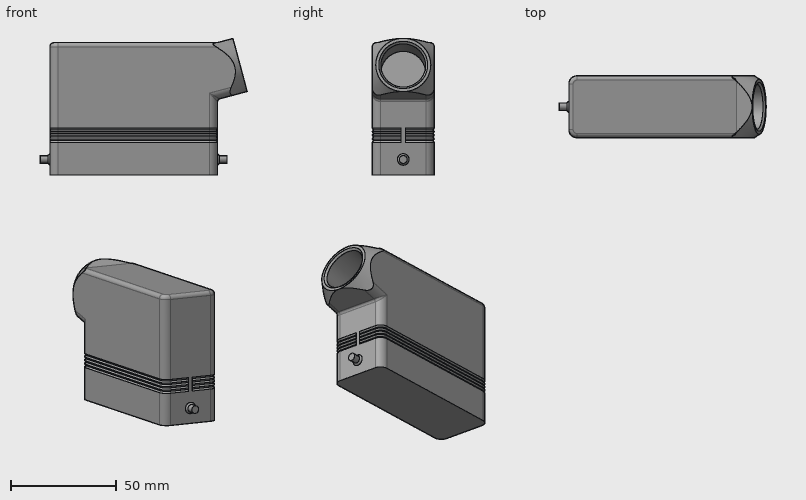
import cadquery as cq
import math

body_length = 79.5
body_width = 29.4
body_height = 62.8
corner_radius = 3.9
top_radius = 2.1

pin_length = 4.5
pin_diameter = 3.7
pin_height = 7.4
collar_flare = 0.9

outlet_tilt = 15.0
mouth_diameter = 26.1
outlet_top = 64.8
outlet_end = 98.0
cone_half_angle = 32.0
cone_length = 13.7
elbow_radius = 1.3
bore_diameter = 21.2
bore_chamfer = 1.0
bore_depth = 14.7

groove_count = 4
groove_pitch = 1.7
groove_depth = 0.6
groove_base = 15.6
groove_gap = 2.0

clearance = 0.1

body_left = pin_length
body_right = body_left + body_length
body_center = (body_left + body_right) / 2
tilt = math.radians(outlet_tilt)
mouth_radius = mouth_diameter / 2
bore_radius = bore_diameter / 2
pin_radius = pin_diameter / 2

mouth_top_x = outlet_end - mouth_diameter * math.sin(tilt)
mouth_top = (mouth_top_x, outlet_top)
mouth_bottom_z = outlet_top - mouth_diameter * math.cos(tilt)
mouth_bottom = (outlet_end, mouth_bottom_z)

elbow_z = mouth_bottom_z - (outlet_end - body_right) * math.tan(tilt)
slope_start_x = mouth_top_x - (outlet_top - body_height) / math.tan(tilt)
mouth_cut_x = mouth_top_x + (outlet_top - body_height) * math.tan(tilt)

mouth_plane = cq.Plane(
    origin=((mouth_top_x + outlet_end) / 2, 0, (outlet_top + mouth_bottom_z) / 2),
    xDir=(0, 1, 0),
    normal=(math.cos(tilt), 0, math.sin(tilt)),
)


def side_extrusion(points, width):
    """Solid with an X-Z outline, centered on y = 0."""
    return cq.Workplane("XZ").polyline(points).close().extrude(width / 2, both=True)


def frustum(plane, start_radius, end_radius, offset):
    """Cone section from a circle on the plane to a circle at an offset along its normal."""
    start = cq.Workplane(plane).circle(start_radius)
    return start.workplane(offset=offset).circle(end_radius).loft()


def edges_between(solid, x_range, z_range):
    """Edges lying wholly inside the given X and Z ranges, at any Y."""
    half_width = body_width / 2 + clearance
    low = (x_range[0] - clearance, -half_width, z_range[0] - clearance)
    high = (x_range[1] + clearance, half_width, z_range[1] + clearance)
    return solid.edges(cq.selectors.BoxSelector(low, high, boundingbox=True))


def sharp_hood():
    """Body and outlet as one block with sharp edges and a level top."""
    outline = [
        (body_left, 0),
        (body_right, 0),
        (body_right, elbow_z),
        mouth_bottom,
        (mouth_cut_x, body_height),
        (body_left, body_height),
    ]
    return side_extrusion(outline, body_width)


def round_edges(hood):
    """Round the upright corners, the outlet's lower edges, the elbow and the top rim."""
    uprights = hood.edges("|Z")
    outlet_lower = edges_between(
        hood, (body_right, outlet_end), (elbow_z, mouth_bottom_z)
    ).edges("not |Y")
    hood = uprights.add(outlet_lower).fillet(corner_radius)

    elbow = edges_between(
        hood,
        (body_right - corner_radius, body_right),
        (elbow_z, elbow_z + 2 * corner_radius),
    )
    hood = elbow.fillet(elbow_radius)

    rim = edges_between(hood, (body_left, mouth_cut_x), (body_height, body_height))
    return rim.edges("not >X").fillet(top_radius)


def outlet_ridge():
    """Sloped part of the outlet that rises above the level top of the body."""
    outline = [(slope_start_x, body_height), (mouth_cut_x, body_height), mouth_top]
    return side_extrusion(outline, body_width - 2 * top_radius)


def outlet_turning_cutter():
    """Everything around the outlet's cone, between the top and bottom of the outlet."""
    base_radius = mouth_radius + cone_length * math.tan(math.radians(cone_half_angle))
    block = cq.Workplane(mouth_plane).rect(2 * base_radius, mouth_diameter + 2 * clearance)
    block = block.extrude(-cone_length)
    return block.cut(frustum(mouth_plane, mouth_radius, base_radius, -cone_length))


def outlet_bore():
    """Blind cable bore with a chamfered mouth."""
    bore = cq.Workplane(mouth_plane).circle(bore_radius).extrude(-bore_depth)
    return bore.union(frustum(mouth_plane, bore_radius + bore_chamfer, bore_radius, -bore_chamfer))


def groove_cutter(base_z):
    """One V-shaped ring around the body, its lower edge at the given height."""
    half_height = groove_pitch / 2
    flank_angle = math.degrees(math.atan(groove_depth / half_height))
    outer_length = body_length + 2 * clearance
    outer_width = body_width + 2 * clearance
    base = cq.Workplane("XY", origin=(body_center, 0, base_z))

    body_outline = cq.Sketch().rect(body_length, body_width).vertices().fillet(corner_radius)
    lower_core = base.placeSketch(body_outline).extrude(half_height, taper=flank_angle)
    upper_core = lower_core.mirror("XY", (body_center, 0, base_z + half_height))
    bridge = base.rect(outer_length, groove_gap).extrude(groove_pitch)

    ring = base.rect(outer_length, outer_width).extrude(groove_pitch)
    return ring.cut(lower_core).cut(upper_core).cut(bridge)


def latch_pin(end_x, direction):
    """Pin standing out of a body end, with a conical collar at its root."""
    plane = cq.Plane(origin=(end_x, 0, pin_height), xDir=(0, 1, 0), normal=(direction, 0, 0))
    pin = cq.Workplane(plane).circle(pin_radius).extrude(pin_length)
    return pin.union(frustum(plane, pin_radius + collar_flare, pin_radius, collar_flare))


hood = round_edges(sharp_hood()).union(outlet_ridge())
hood = hood.cut(outlet_turning_cutter()).cut(outlet_bore())

for index in range(groove_count):
    hood = hood.cut(groove_cutter(groove_base + index * groove_pitch))

result = hood.union(latch_pin(body_left, -1)).union(latch_pin(body_right, 1))